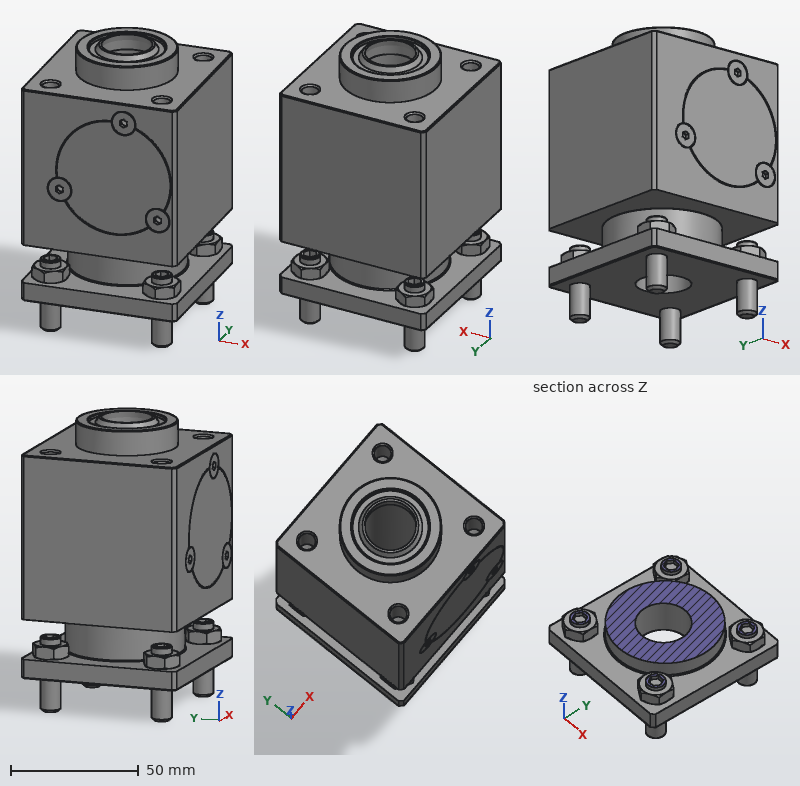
import cadquery as cq
import math

total_height = 115.0
plate_bottom = 14.3
plate_top = 22.0
nut_top = 27.0
set_screw_top = 30.0
block_bottom = 38.0
block_top = 104.0
boss_top = 114.0

side = 65.0
corner_chamfer = 1.5
edge_chamfer = 0.5

collar_diameter = 47.0
collar_offset_y = 0.8
collar_flare = 0.5
collar_top_chamfer = 0.3

boss_diameter = 40.0
recess_diameter = 30.5
recess_depth = 1.0
recess_chamfer = 0.3
bushing_flange_diameter = 30.0
bushing_flange_chamfer = 0.2
bushing_gap_depth = 1.2
bushing_base_diameter = 25.0
bushing_top_diameter = 22.0

lip_diameter = 20.0
throat_diameter = 20.9
bore_diameter = 22.0
lip_depth = 2.5
throat_depth = 6.5

corner_pitch = 46.5
screw_diameter = 8.0
screw_tip_diameter = 5.5
screw_tip_length = 1.2
screw_top_chamfer = 0.5
screw_socket_flats = 5.0
screw_socket_depth = 3.5
nut_flats = 13.0
nut_chamfer_angle = 30.0
hole_diameter = 6.7
hole_mouth_diameter = screw_diameter
hole_depth = 16.1

cover_center_x = 6.4
cover_center_z = 72.0
cover_diameter = 47.5
cover_seat_diameter = 48.2
cover_screw_circle_radius = 24.0
cover_screw_first_angle = 80.0
cover_screw_count = 3
cover_head_diameter = 9.7
cover_head_seat_diameter = 10.0
cover_socket_flats = 3.0
cover_socket_depth = 1.7
gap_depth = 0.6

drill_point_angle = 118.0

half_pitch = corner_pitch / 2
corner_points = [(x, y) for x in (-half_pitch, half_pitch) for y in (-half_pitch, half_pitch)]


def hexagon_corners(across_flats):
    """Across-corners size of a regular hexagon."""
    return across_flats / math.cos(math.radians(30))


def drill_point_length(diameter):
    """Length of the conical end of a drilled hole."""
    return diameter / 2 / math.tan(math.radians(drill_point_angle / 2))


def revolve_about_z(profile):
    """Turn closed (radius, height) points about the Z axis."""
    return cq.Workplane("XZ").polyline(profile).close().revolve(360, (0, 0), (0, 1))


def at_corners(solid):
    """One copy of the solid on every point of the corner pattern."""
    return cq.Workplane("XY").pushPoints(corner_points).eachpoint(solid.val().moved)


def square_body(bottom, top):
    """Square prism with chamfered upright edges."""
    body = cq.Workplane("XY").workplane(offset=bottom).rect(side, side).extrude(top - bottom)
    return body.edges("|Z").chamfer(corner_chamfer)


def make_collar():
    """Round collar with a small flare at the plate and a chamfer under the block."""
    radius = collar_diameter / 2
    collar = revolve_about_z([
        (0, plate_top),
        (radius + collar_flare, plate_top),
        (radius, plate_top + collar_flare),
        (radius, block_bottom - collar_top_chamfer),
        (radius - collar_top_chamfer, block_bottom),
        (0, block_bottom),
    ])
    return collar.translate((0, collar_offset_y, 0))


def make_boss():
    """Boss with a shallow recess, and the flanged, tapered bushing that rises out of it."""
    radius = boss_diameter / 2
    recess_radius = recess_diameter / 2
    flange_radius = bushing_flange_diameter / 2
    flange_top = boss_top - recess_depth
    gap_floor = flange_top - bushing_gap_depth
    return revolve_about_z([
        (0, block_top),
        (radius, block_top),
        (radius, boss_top - edge_chamfer),
        (radius - edge_chamfer, boss_top),
        (recess_radius + recess_chamfer, boss_top),
        (recess_radius, boss_top - recess_chamfer),
        (recess_radius, gap_floor),
        (flange_radius, gap_floor),
        (flange_radius, flange_top - bushing_flange_chamfer),
        (flange_radius - bushing_flange_chamfer, flange_top),
        (bushing_base_diameter / 2, flange_top),
        (bushing_top_diameter / 2, total_height),
        (0, total_height),
    ])


def make_bore():
    """Through bore, narrowest at the bushing lip and widest at the plate."""
    lip_end = total_height - lip_depth
    throat_end = total_height - throat_depth
    return revolve_about_z([
        (0, plate_bottom),
        (bore_diameter / 2, plate_bottom),
        (bore_diameter / 2, throat_end),
        (throat_diameter / 2, throat_end),
        (throat_diameter / 2, lip_end),
        (lip_diameter / 2, total_height),
        (0, total_height),
    ])


def make_set_screw():
    """Headless screw with a tapered tip and a hexagon socket in its upper end."""
    radius = screw_diameter / 2
    screw = revolve_about_z([
        (0, 0),
        (screw_tip_diameter / 2, 0),
        (radius, screw_tip_length),
        (radius, set_screw_top - screw_top_chamfer),
        (radius - screw_top_chamfer, set_screw_top),
        (0, set_screw_top),
    ])
    socket = (
        cq.Workplane("XY").workplane(offset=set_screw_top)
        .polygon(6, hexagon_corners(screw_socket_flats)).extrude(-screw_socket_depth)
    )
    return screw.cut(socket)


def make_nut():
    """Hexagon nut, corners toward +Y and -Y, with its corners turned off at both ends."""
    corners = hexagon_corners(nut_flats)
    nut = (
        cq.Workplane("XY").workplane(offset=plate_top)
        .transformed(rotate=(0, 0, 90)).polygon(6, corners).extrude(nut_top - plate_top)
    )
    corner_drop = (corners - nut_flats) / 2 * math.tan(math.radians(nut_chamfer_angle))
    envelope = revolve_about_z([
        (0, plate_top),
        (nut_flats / 2, plate_top),
        (corners / 2, plate_top + corner_drop),
        (corners / 2, nut_top - corner_drop),
        (nut_flats / 2, nut_top),
        (0, nut_top),
    ])
    return nut.intersect(envelope)


def make_threaded_hole():
    """Blind hole in the block top with a countersunk mouth and a conical floor."""
    radius = hole_diameter / 2
    mouth_radius = hole_mouth_diameter / 2
    floor = block_top - hole_depth
    return revolve_about_z([
        (0, floor - drill_point_length(hole_diameter)),
        (radius, floor),
        (radius, block_top - (mouth_radius - radius)),
        (mouth_radius, block_top),
        (0, block_top),
    ])


def front_plane(x, z):
    """Sketch plane on the -Y face of the block, extruding outward from the part."""
    return cq.Workplane("XZ", origin=(x, -side / 2, z))


def cut_cover(block):
    """Cover gap, screw head gaps and hexagon sockets in the -Y face."""
    cover = front_plane(cover_center_x, cover_center_z)
    block = block.cut(
        cover.circle(cover_seat_diameter / 2).circle(cover_diameter / 2).extrude(-gap_depth)
    )
    for index in range(cover_screw_count):
        angle = math.radians(cover_screw_first_angle + index * 360 / cover_screw_count)
        x = cover_center_x + cover_screw_circle_radius * math.cos(angle)
        z = cover_center_z + cover_screw_circle_radius * math.sin(angle)
        face = front_plane(x, z)
        seat = face.circle(cover_head_seat_diameter / 2).extrude(-gap_depth)
        head = face.circle(cover_head_diameter / 2).extrude(-gap_depth)
        socket = (
            face.transformed(rotate=(0, 0, 90))
            .polygon(6, hexagon_corners(cover_socket_flats)).extrude(-cover_socket_depth)
        )
        point_length = drill_point_length(cover_socket_flats)
        socket_point = cq.Workplane(cq.Solid.makeCone(
            cover_socket_flats / 2, 0, point_length,
            pnt=cq.Vector(x, cover_socket_depth - side / 2, z), dir=cq.Vector(0, 1, 0),
        ))
        block = block.cut(seat).union(head).cut(socket).cut(socket_point)
    return block


block = square_body(block_bottom, block_top).faces(">Z").chamfer(edge_chamfer)
block = cut_cover(block).cut(at_corners(make_threaded_hole()))

plate = square_body(plate_bottom, plate_top).faces("<Z").chamfer(edge_chamfer)

result = (
    plate.union(make_collar())
    .union(block)
    .union(make_boss())
    .union(at_corners(make_nut()))
    .union(at_corners(make_set_screw()))
    .cut(make_bore())
)